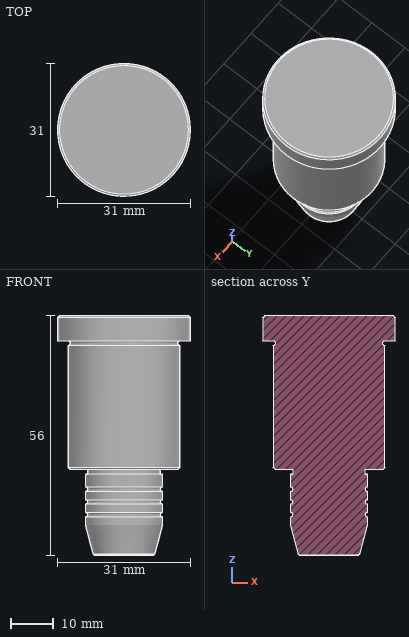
import cadquery as cq
import math

length = 56.0

head_radius = 15.5
body_radius = 13.05
plug_radius = 9.0
neck_radius = 8.5

head_depth = 6.0
body_end_depth = 36.0
neck_end_depth = 37.0
first_groove_depth = 40.55
taper_start_depth = 49.0

edge_chamfer = 0.5
tip_chamfer = 0.3
taper_angle = 15.0

groove_radius = 0.5
groove_pitch = 2.95
groove_count = 3

head_bottom = length - head_depth
body_bottom = length - body_end_depth
neck_bottom = length - neck_end_depth
taper_top = length - taper_start_depth
tip_radius = plug_radius - taper_top * math.tan(math.radians(taper_angle))


def cylinder(radius, bottom, top):
    """Cylinder on the Z axis between two heights."""
    return cq.Workplane("XY").workplane(offset=bottom).circle(radius).extrude(top - bottom)


def ring_groove(surface_radius, height):
    """Cutting ring with a round section centred on a cylindrical surface."""
    return cq.Workplane(cq.Solid.makeTorus(surface_radius, groove_radius, cq.Vector(0, 0, height)))


def tapered_tip():
    """Cone at the lower end, chamfered where it meets the flat tip."""
    outline = [(0, 0), (tip_radius, 0), (plug_radius, taper_top), (0, taper_top)]
    cone = cq.Workplane("XZ").polyline(outline).close().revolve(360, (0, 0), (0, 1))
    return cone.faces("<Z").chamfer(tip_chamfer)


head = cylinder(head_radius, head_bottom, length).faces(">Z").chamfer(edge_chamfer)
body = cylinder(body_radius, body_bottom, head_bottom).faces("<Z").chamfer(edge_chamfer)
body = body.cut(ring_groove(body_radius, head_bottom - groove_radius))

neck = cylinder(neck_radius, neck_bottom, body_bottom)
plug = cylinder(plug_radius, taper_top, neck_bottom)
for index in range(groove_count):
    groove_height = length - first_groove_depth - index * groove_pitch
    plug = plug.cut(ring_groove(plug_radius, groove_height))

result = head.union(body).union(neck).union(plug).union(tapered_tip())